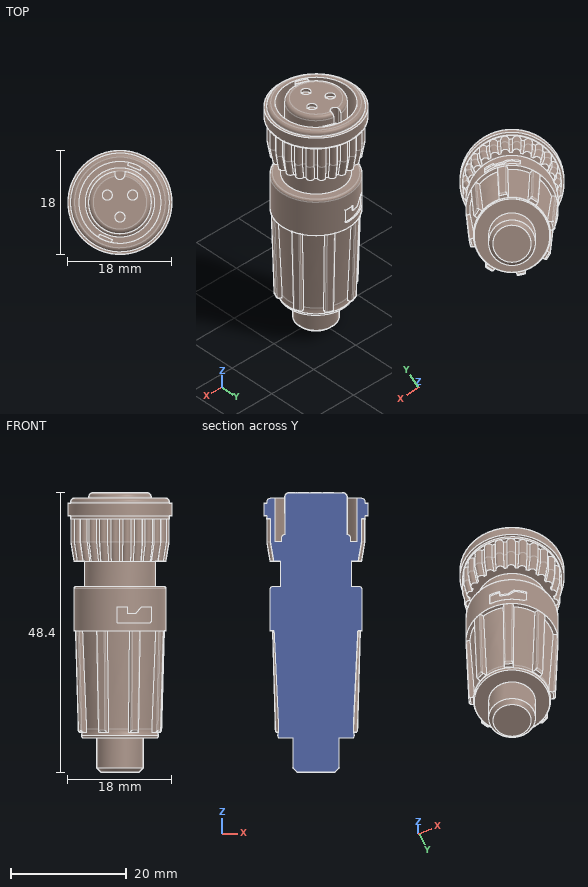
import cadquery as cq
import math


TOTAL_HEIGHT = 48.39
CHAMFER_TOP_Z = 0.75
STUB_TOP_Z = 5.92
GRIP_CHAMFER_TOP_Z = 6.4
FLARE_TOP_Z = 7.5
RIB_BOTTOM_Z = 6.92
COLLAR_BOTTOM_Z = 24.45
COLLAR_TOP_Z = 32.15
KNURL_BOTTOM_Z = 36.5
KNURL_BEND_Z = 39.85
KNURL_TOP_Z = 43.85
BAND_BOTTOM_Z = 44.37
BAND_TOP_Z = 46.57
RIM_Z = 47.45

STUB_RADIUS = 4.05
STUB_TIP_RADIUS = 3.3
GRIP_BASE_RADIUS = 6.53
GRIP_FOOT_RADIUS = 6.7
GRIP_LOW_RADIUS = 6.5
GRIP_TOP_RADIUS = 7.28
COLLAR_RADIUS = 7.98
COLLAR_ROUND = 0.4
NECK_RADIUS = 6.16

RIB_COUNT = 8
RIB_PHASE = 20.3
RIB_ROOT_RADIUS = 6.0
RIB_TOP_RADIUS = 7.95
RIB_LOW_RADIUS = 7.48
RIB_TOP_TIP = 0.82
RIB_LOW_TIP = 0.7
RIB_TOP_ROOT = 1.1
RIB_LOW_ROOT = 0.85
RIB_ROUND = 0.2
RIB_END_CHAMFER = 0.3

MARK_COUNT = 2
MARK_DEPTH = 0.25
MARK_LEFT = -0.55
MARK_RIGHT = 5.48
MARK_BOTTOM_Z = 25.78
MARK_TOP_Z = 28.58
MARK_NOTCH_Z = 27.5
MARK_NOTCH_LEFT = 1.3
MARK_NOTCH_RIGHT = 2.75
MARK_SLOPE_END = 3.7
MARK_RIGHT_ROUND = 0.6
MARK_LEFT_ROUND = 0.3

BAND_RADIUS = 9.015
RING_RADIUS = 8.55
RIM_ROUND = 0.7
WELL_RADIUS = 7.09
WELL_DEPTH = 7.5

LOBE_COUNT = 24
LOBE_PHASE = 8.9
LOBE_RADIUS = 0.73
LOBE_CENTRE_RADIUS = RING_RADIUS - LOBE_RADIUS
VALLEY_RADIUS = 7.9
LEAN = 0.57

LUG_COUNT = 2
LUG_ANGLE = 68.0
LUG_INNER_RADIUS = 6.45
LUG_WIDTH = 2.4
LUG_HEIGHT = 1.5
LUG_DROP = 0.25

INSERT_RADIUS = 5.42
INSERT_ROUND = 0.8
SLEEVE_RADIUS = 5.99
SLEEVE_HEIGHT = 1.2
SLEEVE_ROUND = SLEEVE_RADIUS - INSERT_RADIUS
CONTACT_COUNT = 3
CONTACT_CIRCLE_RADIUS = 2.53
CONTACT_FIRST_ANGLE = -90.0
CONTACT_HOLE_RADIUS = 0.87
CONTACT_HOLE_DEPTH = 0.75
KEYWAY_HALF_WIDTH = 0.83
KEYWAY_CENTRE_Y = 4.78

WELL_FLOOR_Z = RIM_Z - WELL_DEPTH
SLEEVE_TOP_Z = WELL_FLOOR_Z + SLEEVE_HEIGHT


def cylinder(radius, bottom_z, top_z):
    return cq.Workplane("XY").workplane(offset=bottom_z).circle(radius).extrude(top_z - bottom_z)


def polar_copies(shape, count, first_angle):
    """Copies of a shape spaced evenly around Z."""
    step = 360.0 / count
    for index in range(count):
        yield shape.rotate((0, 0, 0), (0, 0, 1), first_angle + index * step)


def make_core():
    """Turned stub, grip body and neck, with the round-edged collar added."""
    upper_profile = [
        (0, KNURL_BOTTOM_Z),
        (NECK_RADIUS, KNURL_BOTTOM_Z),
        (NECK_RADIUS, COLLAR_BOTTOM_Z),
        (GRIP_TOP_RADIUS, COLLAR_BOTTOM_Z),
        (GRIP_LOW_RADIUS, FLARE_TOP_Z),
    ]
    turned = (
        cq.Workplane("XZ")
        .polyline(upper_profile)
        .tangentArcPoint((GRIP_FOOT_RADIUS, GRIP_CHAMFER_TOP_Z), relative=False)
        .lineTo(GRIP_BASE_RADIUS, STUB_TOP_Z)
        .lineTo(STUB_RADIUS, STUB_TOP_Z)
        .lineTo(STUB_RADIUS, CHAMFER_TOP_Z)
        .lineTo(STUB_TIP_RADIUS, 0)
        .lineTo(0, 0)
        .close()
        .revolve(360, (0, 0, 0), (0, 1, 0))
    )
    collar = cylinder(COLLAR_RADIUS, COLLAR_BOTTOM_Z, COLLAR_TOP_Z).faces(">Z").edges().fillet(COLLAR_ROUND)
    return turned.union(collar)


def make_rib():
    """One grip rib along +X, narrowing and sloping inward towards the stub."""

    def section(tip_radius, half_root, half_tip):
        return [
            (RIB_ROOT_RADIUS, -half_root),
            (tip_radius, -half_tip),
            (tip_radius, half_tip),
            (RIB_ROOT_RADIUS, half_root),
        ]

    rib = (
        cq.Workplane("XY")
        .workplane(offset=RIB_BOTTOM_Z)
        .polyline(section(RIB_LOW_RADIUS, RIB_LOW_ROOT, RIB_LOW_TIP))
        .close()
        .workplane(offset=COLLAR_BOTTOM_Z - RIB_BOTTOM_Z)
        .polyline(section(RIB_TOP_RADIUS, RIB_TOP_ROOT, RIB_TOP_TIP))
        .close()
        .loft(ruled=True)
    )
    rib = rib.faces("<Z").edges(">X").chamfer(RIB_END_CHAMFER)
    return rib.faces(">X").edges("not #Z").fillet(RIB_ROUND)


def make_mark():
    """Bayonet mark on the -Y side of the collar, of even depth below its surface."""
    outline = [
        (MARK_LEFT, MARK_BOTTOM_Z),
        (MARK_RIGHT, MARK_BOTTOM_Z),
        (MARK_RIGHT, MARK_TOP_Z),
        (MARK_SLOPE_END, MARK_TOP_Z),
        (MARK_NOTCH_RIGHT, MARK_NOTCH_Z),
        (MARK_NOTCH_LEFT, MARK_NOTCH_Z),
        (MARK_NOTCH_LEFT, MARK_TOP_Z),
        (MARK_LEFT, MARK_TOP_Z),
    ]
    mark = cq.Workplane("XZ").polyline(outline).close().extrude(BAND_RADIUS)
    mark = mark.edges("|Y and >X and <Z").fillet(MARK_RIGHT_ROUND)
    mark = mark.edges("|Y and <X and <Z").fillet(MARK_LEFT_ROUND)
    return mark.cut(cylinder(COLLAR_RADIUS - MARK_DEPTH, COLLAR_BOTTOM_Z, COLLAR_TOP_Z))


def make_lobe():
    """One knurl lobe along +X: upright above the bend, leaning inward below it."""
    path = (
        cq.Workplane("XZ")
        .moveTo(LOBE_CENTRE_RADIUS, KNURL_TOP_Z)
        .lineTo(LOBE_CENTRE_RADIUS, KNURL_BEND_Z)
        .lineTo(LOBE_CENTRE_RADIUS - 2 * LEAN, 2 * KNURL_BOTTOM_Z - KNURL_BEND_Z)
    )
    lobe = (
        cq.Workplane("XY", origin=(LOBE_CENTRE_RADIUS, 0, KNURL_TOP_Z))
        .circle(LOBE_RADIUS)
        .sweep(path, transition="right")
    )
    return lobe.intersect(cylinder(BAND_RADIUS, KNURL_BOTTOM_Z, KNURL_TOP_Z))


def make_coupling():
    """Coupling ring with its band, rounded rim and knurled skirt, before the well is bored."""
    skirt_profile = [
        (0, KNURL_BOTTOM_Z),
        (VALLEY_RADIUS - LEAN, KNURL_BOTTOM_Z),
        (VALLEY_RADIUS, KNURL_BEND_Z),
        (VALLEY_RADIUS, KNURL_TOP_Z),
        (0, KNURL_TOP_Z),
    ]
    coupling = cq.Workplane("XZ").polyline(skirt_profile).close().revolve(360, (0, 0, 0), (0, 1, 0))
    for lobe in polar_copies(make_lobe(), LOBE_COUNT, LOBE_PHASE):
        coupling = coupling.union(lobe)
    rim = cylinder(RING_RADIUS, KNURL_TOP_Z, RIM_Z).faces(">Z").edges().fillet(RIM_ROUND)
    return coupling.union(rim).union(cylinder(BAND_RADIUS, BAND_BOTTOM_Z, BAND_TOP_Z))


def make_lug():
    """Straight-faced bayonet lug on the well wall along +X."""
    top_z = RIM_Z - LUG_DROP
    reach = RING_RADIUS - LUG_INNER_RADIUS
    lug = cq.Workplane("XY").box(reach, LUG_WIDTH, LUG_HEIGHT, centered=(False, True, False))
    lug = lug.translate((LUG_INNER_RADIUS, 0, top_z - LUG_HEIGHT))
    wall_middle_radius = (WELL_RADIUS + RING_RADIUS) / 2
    return lug.intersect(cylinder(wall_middle_radius, WELL_FLOOR_Z, RIM_Z))


def make_insert():
    """Contact insert with its rounded sleeve, contact holes and open keyway."""
    insert = cylinder(INSERT_RADIUS, WELL_FLOOR_Z, TOTAL_HEIGHT).faces(">Z").edges().fillet(INSERT_ROUND)

    contacts = (
        cq.Workplane("XY")
        .workplane(offset=TOTAL_HEIGHT - CONTACT_HOLE_DEPTH)
        .polarArray(CONTACT_CIRCLE_RADIUS, CONTACT_FIRST_ANGLE, 360, CONTACT_COUNT)
        .circle(CONTACT_HOLE_RADIUS)
        .extrude(CONTACT_HOLE_DEPTH)
    )
    keyway = (
        cq.Workplane("XY")
        .workplane(offset=SLEEVE_TOP_Z)
        .moveTo(-KEYWAY_HALF_WIDTH, SLEEVE_RADIUS)
        .lineTo(-KEYWAY_HALF_WIDTH, KEYWAY_CENTRE_Y)
        .threePointArc((0, KEYWAY_CENTRE_Y - KEYWAY_HALF_WIDTH), (KEYWAY_HALF_WIDTH, KEYWAY_CENTRE_Y))
        .lineTo(KEYWAY_HALF_WIDTH, SLEEVE_RADIUS)
        .close()
        .extrude(TOTAL_HEIGHT - SLEEVE_TOP_Z)
    )
    arc_offset = SLEEVE_ROUND * math.sqrt(0.5)
    sleeve = (
        cq.Workplane("XZ")
        .moveTo(0, WELL_FLOOR_Z)
        .lineTo(SLEEVE_RADIUS, WELL_FLOOR_Z)
        .lineTo(SLEEVE_RADIUS, SLEEVE_TOP_Z - SLEEVE_ROUND)
        .threePointArc(
            (INSERT_RADIUS + arc_offset, SLEEVE_TOP_Z - SLEEVE_ROUND + arc_offset),
            (INSERT_RADIUS, SLEEVE_TOP_Z),
        )
        .lineTo(0, SLEEVE_TOP_Z)
        .close()
        .revolve(360, (0, 0, 0), (0, 1, 0))
    )
    return insert.cut(contacts).cut(keyway).union(sleeve)


result = make_core()
for rib in polar_copies(make_rib(), RIB_COUNT, RIB_PHASE):
    result = result.union(rib)
for mark in polar_copies(make_mark(), MARK_COUNT, 0):
    result = result.cut(mark)

coupling = make_coupling().cut(cylinder(WELL_RADIUS, WELL_FLOOR_Z, RIM_Z))
for lug in polar_copies(make_lug(), LUG_COUNT, LUG_ANGLE):
    coupling = coupling.union(lug)
result = result.union(coupling).union(make_insert())